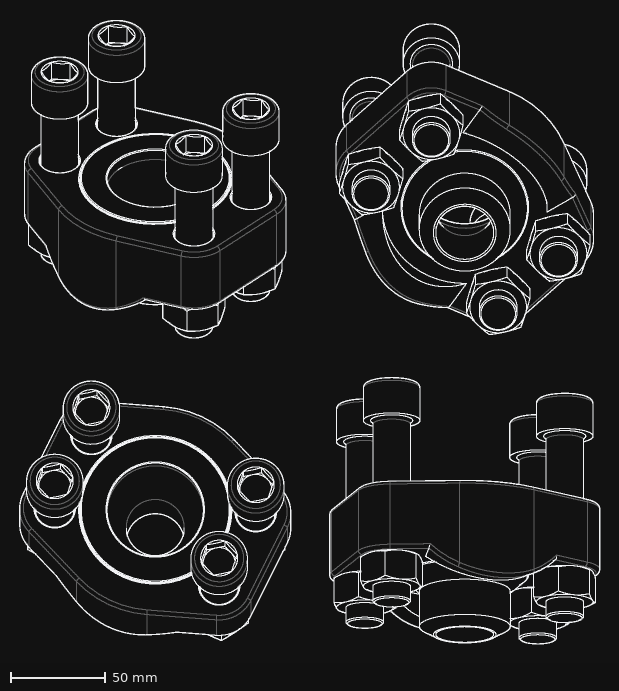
import cadquery as cq
import math


FLANGE_LENGTH = 134.0
FLANGE_WIDTH = 113.9
FLANGE_HEIGHT = 37.1
FLANGE_EDGE_RADIUS = 2.0
HOLE_CHAMFER = 0.5
BOSS_HALF_SPAN = 37.7
BOSS_DEPTH = 15.5
BOSS_TAPER = 8.0
WELD_RECESS_RADIUS = 43.7

BOLT_X = 48.4
BOLT_Y = 22.2
BOLT_CENTRES = [(x, y) for x in (-BOLT_X, BOLT_X) for y in (-BOLT_Y, BOLT_Y)]

BOLT_DIAMETER = 20.0
BOLT_HOLE_DIAMETER = 21.0
BOLT_TOP = 95.1
BOLT_LENGTH = 100.0
TIP_CHAMFER = 0.8
HEAD_DIAMETER = 30.0
HEAD_HEIGHT = BOLT_DIAMETER
HEAD_EDGE_RADIUS = 2.0
FLARE_WIDTH = 1.2
FLARE_HEIGHT = 2.0
SOCKET_CORNER_DIAMETER = 19.5
SOCKET_CHAMFER_ANGLE = 30.0
SOCKET_DEPTH = 11.0
SOCKET_TURN = 38.0
SOCKET_TIP_ANGLE = 120.0

NUT_WIDTH = 30.0
NUT_HEIGHT = 16.0
NUT_CORNER_ANGLE = 30.0

COLLAR_DIAMETER = 79.5
COLLAR_HOLE_DIAMETER = 80.1
COLLAR_PROJECTION = 0.5
COLLAR_HEIGHT = 13.4
NECK_DIAMETER = 66.3
NECK_HOLE_DIAMETER = 67.5
NECK_BOTTOM = -0.5
TUBE_DIAMETER = 48.2
NECK_CONE_BOTTOM = -8.6
TUBE_BOTTOM = -32.3
WELD_BEVEL_WIDTH = 7.5
WELD_BEVEL_ANGLE = 30.0
COLLAR_CHAMFER = 0.5
TOP_BORE_DIAMETER = 51.0
TOP_BORE_DEPTH = 6.5
LOWER_BORE_DIAMETER = 30.7
BORE_CONE_BOTTOM = -1.3

COLLAR_TOP = FLANGE_HEIGHT + COLLAR_PROJECTION
COLLAR_BOTTOM = COLLAR_TOP - COLLAR_HEIGHT


def flange_outline(height):
    """Prism of the flange outline: round corners about the bolts, joined tangentially to wide end arcs."""
    end_radius = FLANGE_WIDTH / 2
    corner_radius = FLANGE_LENGTH / 2 - BOLT_X
    bolt_distance = math.hypot(BOLT_X, BOLT_Y)
    normal = math.atan2(BOLT_Y, BOLT_X) + math.acos((end_radius - corner_radius) / bolt_distance)
    end_x = end_radius * math.cos(normal)
    end_y = end_radius * math.sin(normal)
    corner_x = BOLT_X + corner_radius * math.cos(normal)
    corner_y = BOLT_Y + corner_radius * math.sin(normal)
    middle_x = BOLT_X + corner_radius * math.cos(normal / 2)
    middle_y = BOLT_Y + corner_radius * math.sin(normal / 2)
    side_x = FLANGE_LENGTH / 2
    return (
        cq.Workplane("XY")
        .moveTo(side_x, -BOLT_Y)
        .lineTo(side_x, BOLT_Y)
        .threePointArc((middle_x, middle_y), (corner_x, corner_y))
        .lineTo(end_x, end_y)
        .threePointArc((0, end_radius), (-end_x, end_y))
        .lineTo(-corner_x, corner_y)
        .threePointArc((-middle_x, middle_y), (-side_x, BOLT_Y))
        .lineTo(-side_x, -BOLT_Y)
        .threePointArc((-middle_x, -middle_y), (-corner_x, -corner_y))
        .lineTo(-end_x, -end_y)
        .threePointArc((0, -end_radius), (end_x, -end_y))
        .lineTo(corner_x, -corner_y)
        .threePointArc((middle_x, -middle_y), (side_x, -BOLT_Y))
        .close()
        .extrude(height)
    )


def make_bosses():
    """Shallow bosses below both ends of the flange, each part of a cone that widens outward along Y."""
    half_width = FLANGE_WIDTH / 2
    outer_radius = (BOSS_HALF_SPAN**2 + BOSS_DEPTH**2) / (2 * BOSS_DEPTH)
    inner_radius = outer_radius - half_width * math.tan(math.radians(BOSS_TAPER))
    axis_point = cq.Vector(0, 0, outer_radius - BOSS_DEPTH)
    below_flange = flange_outline(-BOSS_DEPTH)
    cones = [
        cq.Solid.makeCone(inner_radius, outer_radius, half_width, axis_point, cq.Vector(0, side, 0))
        for side in (-1, 1)
    ]
    return below_flange.intersect(cq.Workplane(cones[0]).union(cones[1]))


def chamfered_hole(diameter, bottom):
    """Space of a round hole that goes down from the flange top to `bottom` and has a chamfered mouth."""
    hole = cq.Workplane("XY", origin=(0, 0, bottom)).circle(diameter / 2).extrude(FLANGE_HEIGHT - bottom)
    mouth = cq.Solid.makeCone(
        diameter / 2, diameter / 2 + HOLE_CHAMFER, HOLE_CHAMFER, cq.Vector(0, 0, FLANGE_HEIGHT - HOLE_CHAMFER)
    )
    return hole.union(cq.Workplane(mouth))


def make_flange():
    """Flange with a stepped hole for the tube and four bolt holes."""
    body = flange_outline(FLANGE_HEIGHT).union(make_bosses())

    body = body.faces(">Z").edges().fillet(FLANGE_EDGE_RADIUS)
    lowest = -2 * BOSS_DEPTH
    highest = FLANGE_EDGE_RADIUS
    lower_edges = cq.selectors.BoxSelector(
        (-FLANGE_LENGTH, -FLANGE_WIDTH, lowest), (FLANGE_LENGTH, FLANGE_WIDTH, highest)
    )
    inner_edges = cq.selectors.BoxSelector(
        (-BOSS_HALF_SPAN, -WELD_RECESS_RADIUS, lowest), (BOSS_HALF_SPAN, WELD_RECESS_RADIUS, highest)
    )
    body = body.edges(lower_edges - inner_edges).fillet(FLANGE_EDGE_RADIUS)

    weld_recess = cq.Workplane("XY").circle(WELD_RECESS_RADIUS).extrude(-BOSS_DEPTH)
    neck_hole = cq.Workplane("XY").circle(NECK_HOLE_DIAMETER / 2).extrude(FLANGE_HEIGHT)
    body = body.cut(weld_recess).cut(neck_hole).cut(chamfered_hole(COLLAR_HOLE_DIAMETER, COLLAR_BOTTOM))
    for x, y in BOLT_CENTRES:
        body = body.cut(chamfered_hole(BOLT_HOLE_DIAMETER, 0).translate((x, y, 0)))
    return body


def make_tube():
    """Weld-on tube: a wide collar and neck held in the flange, and a bevelled lower end."""
    tube_radius = TUBE_DIAMETER / 2
    bevel_height = WELD_BEVEL_WIDTH * math.tan(math.radians(WELD_BEVEL_ANGLE))
    return (
        cq.Workplane("XZ")
        .moveTo(TOP_BORE_DIAMETER / 2, COLLAR_TOP - COLLAR_CHAMFER)
        .lineTo(TOP_BORE_DIAMETER / 2 + COLLAR_CHAMFER, COLLAR_TOP)
        .lineTo(COLLAR_DIAMETER / 2 - COLLAR_CHAMFER, COLLAR_TOP)
        .lineTo(COLLAR_DIAMETER / 2, COLLAR_TOP - COLLAR_CHAMFER)
        .lineTo(COLLAR_DIAMETER / 2, COLLAR_BOTTOM)
        .lineTo(NECK_DIAMETER / 2, COLLAR_BOTTOM)
        .lineTo(NECK_DIAMETER / 2, NECK_BOTTOM)
        .lineTo(tube_radius, NECK_CONE_BOTTOM)
        .lineTo(tube_radius, TUBE_BOTTOM + bevel_height)
        .lineTo(tube_radius - WELD_BEVEL_WIDTH, TUBE_BOTTOM)
        .lineTo(LOWER_BORE_DIAMETER / 2, TUBE_BOTTOM)
        .lineTo(LOWER_BORE_DIAMETER / 2, BORE_CONE_BOTTOM)
        .lineTo(TOP_BORE_DIAMETER / 2, COLLAR_TOP - TOP_BORE_DEPTH)
        .close()
        .revolve(360, (0, 0, 0), (0, 1, 0))
    )


def make_socket():
    """Hexagon socket space with a chamfered mouth and a drilled conical end, turned about its axis."""
    corner_radius = SOCKET_CORNER_DIAMETER / 2
    flat_radius = corner_radius * math.cos(math.pi / 6)
    socket_bottom = BOLT_TOP - SOCKET_DEPTH
    hexagon = (
        cq.Workplane("XY", origin=(0, 0, socket_bottom))
        .transformed(rotate=(0, 0, SOCKET_TURN))
        .polygon(6, SOCKET_CORNER_DIAMETER)
        .extrude(SOCKET_DEPTH)
    )
    mouth_depth = (corner_radius - flat_radius) * math.tan(math.radians(SOCKET_CHAMFER_ANGLE))
    mouth = cq.Workplane(cq.Solid.makeCone(
        flat_radius, corner_radius, mouth_depth, cq.Vector(0, 0, BOLT_TOP - mouth_depth)
    ))
    tip_depth = flat_radius / math.tan(math.radians(SOCKET_TIP_ANGLE / 2))
    tip = cq.Workplane(cq.Solid.makeCone(
        0, flat_radius, tip_depth, cq.Vector(0, 0, socket_bottom - tip_depth)
    ))
    return hexagon.union(mouth).union(tip)


def make_bolt(centre):
    """Socket-head bolt, head upward, on the given XY centre."""
    shank_radius = BOLT_DIAMETER / 2
    head_bottom = BOLT_TOP - HEAD_HEIGHT
    bolt_bottom = head_bottom - BOLT_LENGTH
    shank = (
        cq.Workplane("XY", origin=(0, 0, bolt_bottom))
        .circle(shank_radius)
        .extrude(BOLT_LENGTH)
        .faces("<Z")
        .chamfer(TIP_CHAMFER)
    )
    head = (
        cq.Workplane("XY", origin=(0, 0, head_bottom))
        .circle(HEAD_DIAMETER / 2)
        .extrude(HEAD_HEIGHT)
        .faces(">Z")
        .edges()
        .fillet(HEAD_EDGE_RADIUS)
    )
    flare_radius = (FLARE_WIDTH**2 + FLARE_HEIGHT**2) / (2 * FLARE_WIDTH)
    flare = (
        cq.Workplane("XZ")
        .moveTo(0, head_bottom)
        .lineTo(0, head_bottom - FLARE_HEIGHT)
        .lineTo(shank_radius, head_bottom - FLARE_HEIGHT)
        .radiusArc((shank_radius + FLARE_WIDTH, head_bottom), flare_radius)
        .close()
        .revolve(360, (0, 0, 0), (0, 1, 0))
    )
    return shank.union(head).union(flare).cut(make_socket()).translate((*centre, 0))


def make_nut(centre):
    """Hexagon nut against the flange underside, with corners along X."""
    corner_radius = NUT_WIDTH / math.sqrt(3)
    flat_radius = NUT_WIDTH / 2
    bevel = (corner_radius - flat_radius) * math.tan(math.radians(NUT_CORNER_ANGLE))
    hexagon = cq.Workplane("XY").polygon(6, 2 * corner_radius).extrude(-NUT_HEIGHT)
    envelope = (
        cq.Workplane("XZ")
        .moveTo(0, 0)
        .lineTo(flat_radius, 0)
        .lineTo(corner_radius, -bevel)
        .lineTo(corner_radius, bevel - NUT_HEIGHT)
        .lineTo(flat_radius, -NUT_HEIGHT)
        .lineTo(0, -NUT_HEIGHT)
        .close()
        .revolve(360, (0, 0, 0), (0, 1, 0))
    )
    thread_hole = cq.Workplane("XY").circle(BOLT_DIAMETER / 2).extrude(-NUT_HEIGHT)
    return hexagon.intersect(envelope).cut(thread_hole).translate((*centre, 0))


flange = make_flange()
tube = make_tube()
bolts = [make_bolt(centre) for centre in BOLT_CENTRES]
nuts = [make_nut(centre) for centre in BOLT_CENTRES]

result = cq.Compound.makeCompound(
    [flange.val(), tube.val()] + [bolt.val() for bolt in bolts] + [nut.val() for nut in nuts]
)